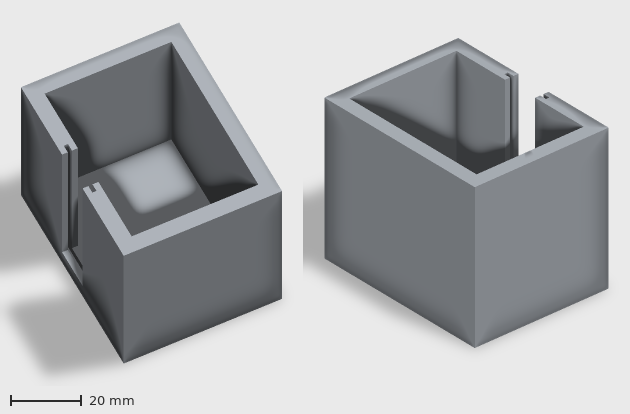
import cadquery as cq

length = 65.0
width = 50.0
height = 53.0
wall = 5.0

opening_width = 13.0
groove_depth = 2.55
groove_width = opening_width + 2 * groove_depth
groove_thickness = 1.3
groove_setback = 1.8

front = -width / 2


def cut_from_top(size_x, size_y, front_y, bottom_z):
    """Block centred on X, reaching from bottom_z up to the rim."""
    return (
        cq.Workplane("XY")
        .box(size_x, size_y, height - bottom_z, centered=(True, False, False))
        .translate((0, front_y, bottom_z))
    )


body = cq.Workplane("XY").box(length, width, height, centered=(True, True, False))

cavity = cut_from_top(length - 2 * wall, width - 2 * wall, front + wall, wall)
opening = cut_from_top(opening_width, wall, front, wall)

groove = cut_from_top(
    groove_width, groove_thickness, front + groove_setback, wall - groove_depth
)

result = body.cut(cavity).cut(opening).cut(groove)